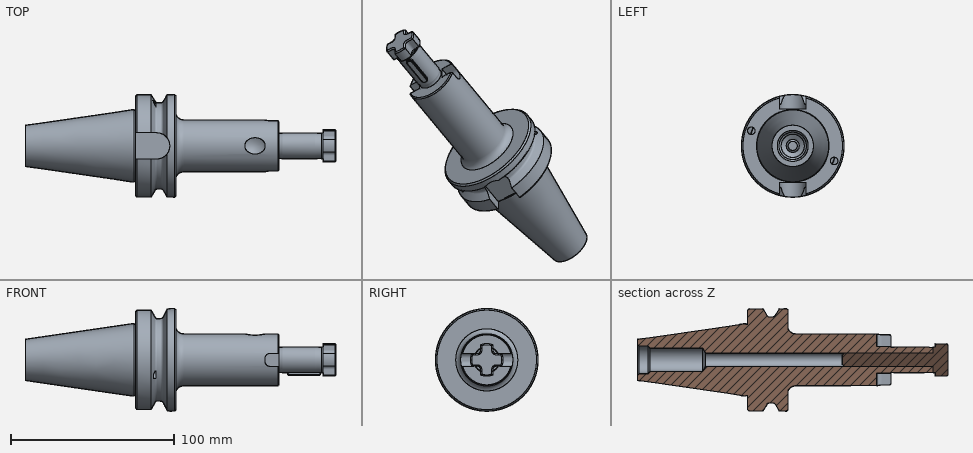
import cadquery as cq
import math

gauge_x = 65.4
flange_front_x = gauge_x + 2.0
flange_back_x = gauge_x + 27.0
nose_x = gauge_x + 90.0
tip_x = gauge_x + 125.0

taper_ratio = 7 / 24
gauge_radius = 44.45 / 2
small_end_radius = gauge_radius - gauge_x * taper_ratio / 2
relief_radius = gauge_radius - 0.3
relief_width = 0.8
flange_radius = 63.0 / 2
flange_chamfer = 1.0
groove_centre_x = gauge_x + 16.6
groove_radius = 53.0 / 2
groove_floor_width = 4.0
groove_half_angle = math.radians(30)
groove_corner_radius = 1.3
drive_slot_width = 16.1
drive_slot_floor = 22.5
drive_slot_end_x = 88.5

coolant_circle_radius = 27.0
coolant_angle = 20.0
coolant_hole_diameter = 4.6
coolant_hole_depth = groove_centre_x - groove_floor_width / 2 - flange_front_x

body_radius = 16.0
body_fillet_radius = 5.0
body_fillet_end_x = flange_back_x + 4.6
body_chamfer = 0.7
dimple_x = 140.7
dimple_length = 12.5
dimple_depth = 2.1
nose_slot_width = 8.0
nose_slot_depth = 8.6
nose_slot_floor = 8.2
nose_slot_corner = 3.2

pilot_radius = 8.0
pilot_end_x = nose_x + 26.0
pilot_relief_radius = pilot_radius - 0.25
pilot_relief_width = 2.4
pilot_relief_flat = 1.2
pilot_lead_length = 3.8
pilot_lead_radius = pilot_radius - 0.2

mouth_radius = 9.5
counterbore_radius = 8.4
counterbore_depth = 6.5
thread_bore_radius = 7.1
thread_bore_end_x = 40.0
drill_point_half_angle = math.radians(59)

key_length = 20.0
key_width = 4.0
key_height = 4.0
key_start_x = nose_x + 5.3
key_outer_z = -9.6
key_chamfer = 0.5

screw_radius = 4.0
screw_tip_x = nose_x - 30.0
screw_tip_radius = 2.8
head_radius = 10.0
head_length = 8.0
head_back_x = tip_x - head_length
head_arm_half_width = 3.8
head_notch_fillet = 2.2
head_chamfer = 0.8


def revolve_about_x(outline):
    """Close an outline drawn as (x, radius) and turn it about the X axis."""
    return outline.close().revolve(360, (0, 0, 0), (1, 0, 0))


def make_turned_blank():
    """Taper, grooved flange, body and pilot as one turned shape."""
    wall = (flange_radius - groove_radius) * math.tan(groove_half_angle)
    floor_start = groove_centre_x - groove_floor_width / 2
    floor_end = groove_centre_x + groove_floor_width / 2
    fillet_centre_r = body_radius + body_fillet_radius
    fillet_reach = body_fillet_end_x - flange_back_x
    fillet_mid = math.asin(fillet_reach / body_fillet_radius) / 2
    fillet_top_r = fillet_centre_r - math.sqrt(body_fillet_radius**2 - fillet_reach**2)
    blank = revolve_about_x(
        cq.Workplane("XZ")
        .moveTo(0, 0)
        .lineTo(0, small_end_radius)
        .lineTo(gauge_x, gauge_radius)
        .lineTo(flange_front_x - relief_width, gauge_radius)
        .lineTo(flange_front_x - relief_width, relief_radius)
        .lineTo(flange_front_x, relief_radius)
        .lineTo(flange_front_x, flange_radius - flange_chamfer)
        .lineTo(flange_front_x + flange_chamfer, flange_radius)
        .lineTo(floor_start - wall, flange_radius)
        .lineTo(floor_start, groove_radius)
        .lineTo(floor_end, groove_radius)
        .lineTo(floor_end + wall, flange_radius)
        .lineTo(flange_back_x - flange_chamfer, flange_radius)
        .lineTo(flange_back_x, flange_radius - flange_chamfer)
        .lineTo(flange_back_x, fillet_top_r)
        .threePointArc(
            (
                body_fillet_end_x - body_fillet_radius * math.sin(fillet_mid),
                fillet_centre_r - body_fillet_radius * math.cos(fillet_mid),
            ),
            (body_fillet_end_x, body_radius),
        )
        .lineTo(nose_x - body_chamfer, body_radius)
        .lineTo(nose_x, body_radius - body_chamfer)
        .lineTo(nose_x, pilot_relief_radius)
        .lineTo(nose_x + pilot_relief_flat, pilot_relief_radius)
        .lineTo(nose_x + pilot_relief_width, pilot_radius)
        .lineTo(pilot_end_x - pilot_lead_length, pilot_radius)
        .lineTo(pilot_end_x, pilot_lead_radius)
        .lineTo(pilot_end_x, 0)
    )
    corner_margin = 0.1
    box_half_width = flange_radius
    groove_corners = cq.selectors.BoxSelector(
        (floor_start - corner_margin, -box_half_width, -box_half_width),
        (floor_end + corner_margin, box_half_width, box_half_width),
    )
    return blank.edges("%CIRCLE").edges(groove_corners).fillet(groove_corner_radius)


def make_drawbar_bore():
    """Chamfered mouth, counterbore, thread bore and drill point."""
    mouth_chamfer = mouth_radius - counterbore_radius
    step = counterbore_radius - thread_bore_radius
    point = (thread_bore_radius - screw_radius) / math.tan(drill_point_half_angle)
    return revolve_about_x(
        cq.Workplane("XZ")
        .moveTo(0, 0)
        .lineTo(0, mouth_radius)
        .lineTo(mouth_chamfer, counterbore_radius)
        .lineTo(counterbore_depth, counterbore_radius)
        .lineTo(counterbore_depth + step, thread_bore_radius)
        .lineTo(thread_bore_end_x, thread_bore_radius)
        .lineTo(thread_bore_end_x + point, screw_radius)
        .lineTo(pilot_end_x, screw_radius)
        .lineTo(pilot_end_x, 0)
    )


def make_drive_slots():
    """Two round-ended slots across the flange, at +Z and -Z."""
    end_radius = drive_slot_width / 2
    straight_end_x = drive_slot_end_x - end_radius
    depth = flange_radius - drive_slot_floor
    slot = (
        cq.Workplane("XY", origin=(0, 0, drive_slot_floor))
        .moveTo(gauge_x, -end_radius)
        .lineTo(straight_end_x, -end_radius)
        .threePointArc((drive_slot_end_x, 0), (straight_end_x, end_radius))
        .lineTo(gauge_x, end_radius)
        .close()
        .extrude(depth)
    )
    return slot.union(slot.rotate((0, 0, 0), (1, 0, 0), 180))


def make_coolant_holes():
    return (
        cq.Workplane("YZ", origin=(flange_front_x, 0, 0))
        .polarArray(coolant_circle_radius, coolant_angle, 360, 2)
        .circle(coolant_hole_diameter / 2)
        .extrude(coolant_hole_depth)
    )


def make_dimple():
    """Ball-shaped dimple in the top of the body."""
    ball_radius = ((dimple_length / 2) ** 2 + dimple_depth**2) / (2 * dimple_depth)
    ball_z = body_radius - dimple_depth + ball_radius
    return cq.Workplane("XY", origin=(dimple_x, 0, ball_z)).sphere(ball_radius)


def make_nose_slots():
    """Two driving slots in the nose, at -Y and +Y."""
    slot_depth = body_radius - nose_slot_floor
    slots = cq.Workplane("XY")
    for side in (-1, 1):
        slot = (
            cq.Workplane("XY")
            .box(nose_slot_depth, slot_depth, nose_slot_width)
            .edges("|Y and <X")
            .fillet(nose_slot_corner)
            .translate((nose_x - nose_slot_depth / 2, side * (nose_slot_floor + slot_depth / 2), 0))
        )
        slots = slots.union(slot)
    return slots


def make_key_blank():
    """Round-ended feather key lying along X below the pilot."""
    return (
        cq.Workplane("XY", origin=(key_start_x + key_length / 2, 0, key_outer_z))
        .slot2D(key_length, key_width)
        .extrude(key_height)
    )


def make_holder():
    return (
        make_turned_blank()
        .cut(make_drawbar_bore())
        .cut(make_drive_slots())
        .cut(make_coolant_holes())
        .cut(make_dimple())
        .cut(make_nose_slots())
        .cut(make_key_blank())
    )


def make_key():
    return make_key_blank().faces("<Z").edges().chamfer(key_chamfer)


def make_screw():
    """Shank with a seating collar and a four-armed head."""
    tip_chamfer = screw_radius - screw_tip_radius
    shank = revolve_about_x(
        cq.Workplane("XZ")
        .moveTo(screw_tip_x, 0)
        .lineTo(screw_tip_x, screw_tip_radius)
        .lineTo(screw_tip_x + tip_chamfer, screw_radius)
        .lineTo(pilot_end_x, screw_radius)
        .lineTo(pilot_end_x, pilot_radius)
        .lineTo(head_back_x, pilot_radius)
        .lineTo(head_back_x, 0)
    )
    arm_size = (head_length, 2 * head_radius, 2 * head_arm_half_width)
    arms = cq.Workplane("XY").box(*arm_size)
    arms = arms.union(arms.rotate((0, 0, 0), (1, 0, 0), 90))
    corner_margin = 0.1
    inner = head_arm_half_width + corner_margin
    notch_corners = cq.selectors.BoxSelector((-head_length, -inner, -inner), (head_length, inner, inner))
    head = (
        arms.edges("|X")
        .edges(notch_corners)
        .fillet(head_notch_fillet)
        .intersect(cq.Workplane("YZ").circle(head_radius).extrude(head_length / 2, both=True))
        .faces(">X")
        .chamfer(head_chamfer)
        .translate((head_back_x + head_length / 2, 0, 0))
    )
    return shank.union(head)


holder = make_holder()
key = make_key()
screw = make_screw()

result = cq.Compound.makeCompound([holder.val(), key.val(), screw.val()])